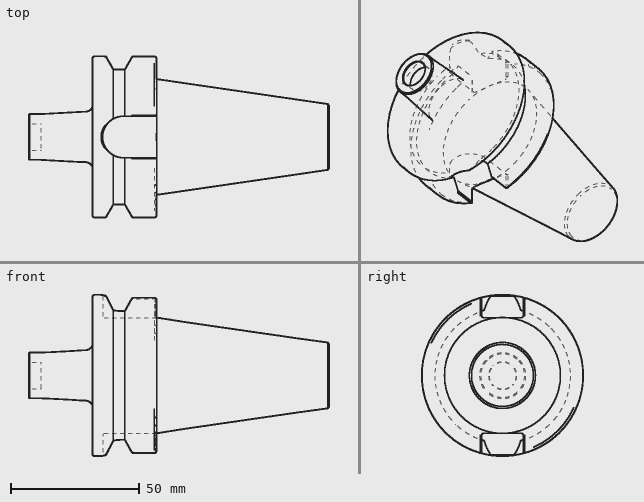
import cadquery as cq
import math

total_length = 117.4
land_end = 4.8
nose_cone_end = 20.9
flange_front = 24.9
flange_back = 50.0

land_radius = 18.0 / 2
neck_radius = 19.7 / 2
flange_radius = 63.0 / 2
groove_radius = 26.4
taper_end_radius = 12.8

taper_slope = 7 / 24 / 2
taper_start_radius = taper_end_radius + (total_length - flange_back) * taper_slope

groove_floor_start = 33.1
groove_floor_end = 37.6
groove_flank_angle = 30
flank_run = (flange_radius - groove_radius) * math.tan(math.radians(groove_flank_angle))
groove_lip_round = 0.9

tip_chamfer = 0.5
taper_end_chamfer = 0.7
flange_edge_round = 1.0
neck_fillet = 3.0
root_recess_depth = 0.2
root_recess_radius = 14.1

bore_radius = 10.5 / 2
bore_mouth_chamfer = 0.2
bore_depth = 4.8

slot_half_width = 8.1
slot_center = 37.0
slot_floor = 22.5
slot_floor_fillet = 0.8
slot_edge_chamfer = 0.6
cut_clearance = 1.2


def revolve_about_axis(profile):
    return profile.close().revolve(360, (0, 0, 0), (1, 0, 0))


def make_nose_and_taper():
    root_x = flange_front + root_recess_depth
    fillet_start = root_x - neck_fillet
    fillet_end_radius = neck_radius + neck_fillet
    arc_offset = neck_fillet * math.sqrt(0.5)
    arc_middle = (fillet_start + arc_offset, fillet_end_radius - arc_offset)
    chamfer_start = total_length - taper_end_chamfer
    profile = (
        cq.Workplane("XY")
        .moveTo(0, 0)
        .lineTo(0, land_radius - tip_chamfer)
        .lineTo(tip_chamfer, land_radius)
        .lineTo(land_end, land_radius)
        .lineTo(nose_cone_end, neck_radius)
        .lineTo(fillet_start, neck_radius)
        .threePointArc(arc_middle, (root_x, fillet_end_radius))
        .lineTo(flange_back, taper_start_radius)
        .lineTo(chamfer_start, taper_end_radius + taper_end_chamfer * taper_slope)
        .lineTo(total_length, taper_end_radius - taper_end_chamfer)
        .lineTo(total_length, 0)
    )
    return revolve_about_axis(profile)


def make_flange():
    profile = (
        cq.Workplane("XY")
        .moveTo(flange_front, 0)
        .lineTo(flange_front, flange_radius)
        .lineTo(groove_floor_start - flank_run, flange_radius)
        .lineTo(groove_floor_start, groove_radius)
        .lineTo(groove_floor_end, groove_radius)
        .lineTo(groove_floor_end + flank_run, flange_radius)
        .lineTo(flange_back, flange_radius)
        .lineTo(flange_back, 0)
    )
    flange = revolve_about_axis(profile)
    rim = cq.selectors.RadiusNthSelector(-1)
    rims = flange.edges("%CIRCLE").edges(rim)
    outer_edges = rims.edges("<X or >X")
    flange = outer_edges.fillet(flange_edge_round)
    margin = groove_lip_round / 2
    lip_box = cq.selectors.BoxSelector(
        (groove_floor_start - flank_run - margin, -flange_radius, -flange_radius),
        (groove_floor_end + flank_run + margin, flange_radius, flange_radius),
    )
    flange = flange.edges(lip_box).edges(rim).fillet(groove_lip_round)
    return flange


def make_root_recess():
    floor_x = flange_front + root_recess_depth
    profile = (
        cq.Workplane("XY")
        .moveTo(flange_front, 0)
        .lineTo(flange_front, root_recess_radius)
        .lineTo(floor_x, neck_radius + neck_fillet)
        .lineTo(floor_x, 0)
    )
    return revolve_about_axis(profile)


def slot_outline(height):
    return (
        cq.Workplane("XY", origin=(0, 0, height))
        .moveTo(flange_back, -slot_half_width)
        .lineTo(slot_center, -slot_half_width)
        .threePointArc((slot_center - slot_half_width, 0), (slot_center, slot_half_width))
        .lineTo(flange_back, slot_half_width)
        .close()
    )


def bevel_bar(plane, start, length):
    side = slot_edge_chamfer * math.sqrt(2)
    bar = cq.Workplane(plane, origin=start).transformed(rotate=(0, 0, 45))
    return bar.rect(side, side).extrude(length)


def make_slot_cutter():
    slot_height = flange_radius - slot_floor + cut_clearance
    cutter = slot_outline(slot_floor).extrude(slot_height)
    cutter = cutter.faces("<Z").edges("not >X").fillet(slot_floor_fillet)

    lip_bevel_start = flange_radius - slot_edge_chamfer
    cutter = cutter.union(slot_outline(lip_bevel_start).extrude(2 * slot_edge_chamfer, taper=-45))

    rim_height = math.sqrt(flange_radius**2 - slot_half_width**2)
    corner_bottom = slot_floor + slot_floor_fillet
    for wall in (-slot_half_width, slot_half_width):
        rim_bar = bevel_bar("YZ", (groove_floor_end, wall, rim_height), flange_back - groove_floor_end)
        corner_bar = bevel_bar("XY", (flange_back, wall, corner_bottom), flange_radius - corner_bottom)
        cutter = cutter.union(rim_bar).union(corner_bar)
    return cutter


def make_bore():
    profile = (
        cq.Workplane("XY")
        .moveTo(0, 0)
        .lineTo(0, bore_radius + bore_mouth_chamfer)
        .lineTo(bore_mouth_chamfer, bore_radius)
        .lineTo(bore_depth, bore_radius)
        .lineTo(bore_depth, 0)
    )
    return revolve_about_axis(profile)


slot_cutter = make_slot_cutter()
flange = make_flange().cut(make_root_recess())
for angle in (0, 180):
    flange = flange.cut(slot_cutter.rotate((0, 0, 0), (1, 0, 0), angle))
result = flange.union(make_nose_and_taper()).cut(make_bore())